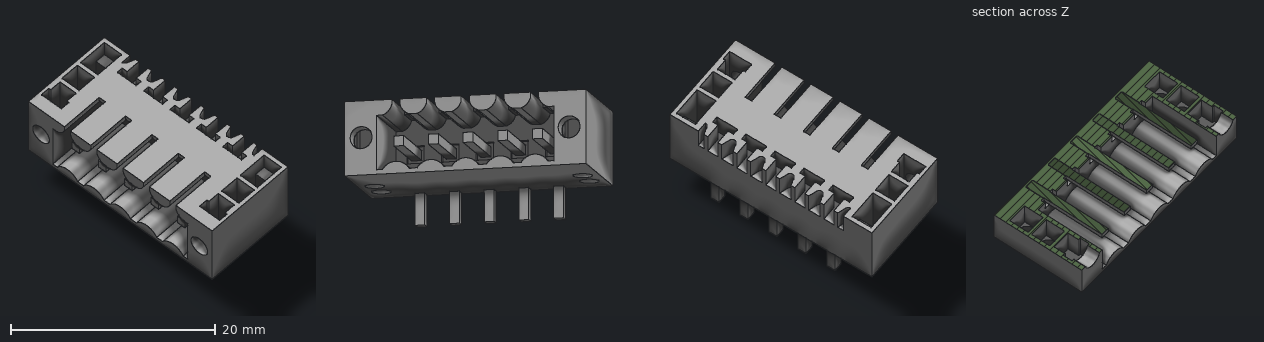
import cadquery as cq
import math

pin_count = 5
pitch = 3.5
pin_x = [(i - (pin_count - 1) / 2) * pitch for i in range(pin_count)]

length = 24.4
depth = 11.05
height = 7.45

cavity_length = 17.9
cavity_depth = 8.0
cavity_floor = 0.45
cavity_shoulder = 5.9
cavity_ceiling = 6.93
bump_half_width = 1.35
bump_rise = 0.75
lobe_radius = 1.4

roof_slot_width = 0.8
roof_slot_length = 5.05

pin_size = 1.0
pin_axis_z = 3.5
pin_front_y = 1.2
pin_back_y = depth - 0.35
pin_drop = 3.2
pin_recess_size = 1.75
pin_recess_depth = 0.5

rear_cut_depth = 2.4
neck_width = 1.2
neck_length = 1.73
crossbar_width = 2.5
crossbar_length = 0.7
notch_half_width = 0.68
notch_depth = 1.2
notch_tip_radius = 0.4
notch_flank_angle = math.radians(18)

flange_x = 3 * pitch
screw_diameter = 2.2
screw_z = 3.75
pocket_floor = 1.0
nut_wide_width = 2.65
nut_wide_y = 1.5
nut_narrow_width = 2.13
nut_narrow_y = 2.57
nut_end_y = 3.92
box_x = 10.6
box_width = 2.28
front_box_y = 4.39
rear_box_y = 7.09
box_length = 2.24
ledge_length = 1.22
ledge_drop = 1.85
drain_diameter = 1.9


def block(x_mid, width, y_min, y_max, z_min, z_max):
    """Box centred on x_mid and running between the given Y and Z limits."""
    size = (width, y_max - y_min, z_max - z_min)
    return cq.Workplane("XY").box(*size, centered=(True, False, False)).translate((x_mid, y_min, z_min))


def cavity_cutter():
    """Cavity with rounded lobes between the pins above and rounded bumps under the pins."""
    half = cavity_length / 2
    slot_half = roof_slot_width / 2
    outline = cq.Workplane("XZ").moveTo(-half, cavity_floor)
    for x in pin_x:
        outline = outline.lineTo(x - bump_half_width, cavity_floor)
        outline = outline.threePointArc((x, cavity_floor + bump_rise), (x + bump_half_width, cavity_floor))
    outline = outline.lineTo(half, cavity_floor).lineTo(half, cavity_shoulder)
    for x in reversed(pin_x):
        outline = outline.lineTo(x + bump_half_width, cavity_shoulder)
        outline = outline.radiusArc((x + slot_half, cavity_ceiling), lobe_radius)
        outline = outline.lineTo(x - slot_half, cavity_ceiling)
        outline = outline.radiusArc((x - bump_half_width, cavity_shoulder), lobe_radius)
    outline = outline.lineTo(-half, cavity_shoulder)
    return outline.close().extrude(-cavity_depth)


def roof_slot(x):
    return block(x, roof_slot_width, 0, roof_slot_length, cavity_ceiling, height)


def pin_recess(x):
    """Square recess around the pin in the back wall of the cavity."""
    half = pin_recess_size / 2
    y_range = (cavity_depth, cavity_depth + pin_recess_depth)
    return block(x, pin_recess_size, *y_range, pin_axis_z - half, pin_axis_z + half)


def t_slot(x):
    """T-shaped slot whose neck opens through the back face."""
    z_range = (height - rear_cut_depth, height)
    neck_end = depth - neck_length
    neck = block(x, neck_width, neck_end, depth, *z_range)
    crossbar = block(x, crossbar_width, neck_end - crossbar_length, neck_end, *z_range)
    return neck.union(crossbar)


def v_notch(x):
    """V-notch in the back edge with a rounded tip."""
    tip_y = depth - notch_depth
    tangent_x = notch_tip_radius * math.cos(notch_flank_angle)
    tangent_y = tip_y + notch_tip_radius * (1 - math.sin(notch_flank_angle))
    return (
        cq.Workplane("XY", origin=(x, 0, height - rear_cut_depth))
        .moveTo(-notch_half_width, depth)
        .lineTo(-tangent_x, tangent_y)
        .threePointArc((0, tip_y), (tangent_x, tangent_y))
        .lineTo(notch_half_width, depth)
        .close()
        .extrude(rear_cut_depth)
    )


def v_notches():
    """Notches midway between the pins; the two end ones keep only their inner half."""
    notches = v_notch(pin_x[0] - pitch / 2)
    for x in pin_x:
        notches = notches.union(v_notch(x + pitch / 2))
    return notches.intersect(block(0, pin_count * pitch, 0, depth, 0, height))


def flange_cutter(side):
    """Pockets and holes of one flange; side is -1 or +1."""
    x = side * flange_x
    z_range = (pocket_floor, height)
    nut_pocket = block(x, nut_wide_width, nut_wide_y, nut_narrow_y, *z_range)
    nut_pocket = nut_pocket.union(block(x, nut_narrow_width, nut_narrow_y, nut_end_y, *z_range))
    screw_hole = cq.Workplane("XZ").center(x, screw_z).circle(screw_diameter / 2).extrude(-nut_narrow_y)
    cutter = nut_pocket.union(screw_hole)
    for y in (front_box_y, rear_box_y):
        cutter = cutter.union(block(side * box_x, box_width, y, y + box_length, *z_range))
        drain = cq.Workplane("XY").center(x, y + box_length / 2).circle(drain_diameter / 2)
        cutter = cutter.union(drain.extrude(height))
    ledge_y = rear_box_y + box_length
    ledge = block(side * box_x, box_width, ledge_y, ledge_y + ledge_length, height - ledge_drop, height)
    return cutter.union(ledge)


def make_pin(x):
    """Square pin: a horizontal contact and a leg bent down through the seating plane."""
    half = pin_size / 2
    contact = block(x, pin_size, pin_front_y, pin_back_y, pin_axis_z - half, pin_axis_z + half)
    leg = block(x, pin_size, pin_back_y - pin_size, pin_back_y, -pin_drop, pin_axis_z + half)
    return contact.union(leg).clean()


def make_housing():
    body = block(0, length, 0, depth, 0, height).cut(cavity_cutter()).cut(v_notches())
    for x in pin_x:
        body = body.cut(roof_slot(x)).cut(pin_recess(x)).cut(t_slot(x)).cut(make_pin(x))
    for side in (-1, 1):
        body = body.cut(flange_cutter(side))
    return body


housing = make_housing()
pins = [make_pin(x) for x in pin_x]

result = cq.Compound.makeCompound([housing.val(), *[pin.val() for pin in pins]])